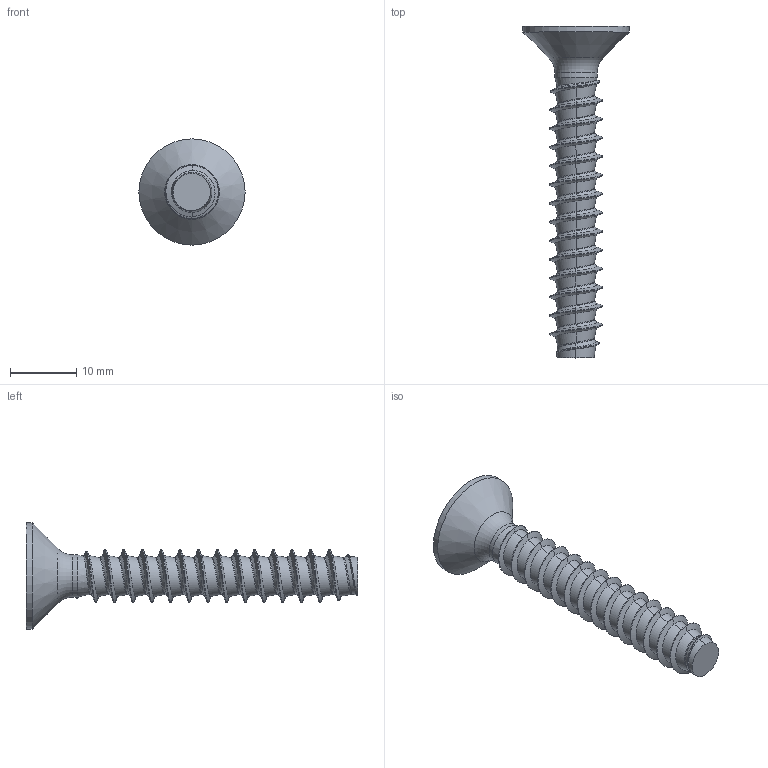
import cadquery as cq
import math


LENGTH = 50.0
HEAD_RADIUS = 8.0
HEAD_RIM = 0.9
HEAD_CONE_ANGLE = math.radians(45)
SHANK_RADIUS = 3.18
NECK_FILLET = 3.2
SHANK_END = 7.75
CORE_RADIUS = 2.765
CORE_START = 9.6

PITCH = 2.817
CREST_RADIUS = 3.97
CREST_WIDTH = 0.1
FLANK_ANGLE = math.radians(20)
THREAD_START = 7.68
THREAD_TURNS = 15
THREAD_END = THREAD_START + THREAD_TURNS * PITCH
LEAD_IN_RADIUS = 3.42
LEAD_IN_END = 10.3
RUNOUT_START = 46.3
RUNOUT_SLOPE = 0.33
MIN_CREST_HEIGHT = 0.03

ROOT_RADIUS = 3.11
ROOT_RISE_START = -0.78
ROOT_GAP = 0.02
ROOT_SLOPE_END = PITCH + ROOT_RISE_START - ROOT_GAP
ROOT_RUNOUT_DROP = 0.25
ROOT_EDGE_RADIUS = CORE_RADIUS - 0.02

BURIED_RADIUS = 2.3
SEGMENTS_PER_TURN = 2
STEPS_PER_SEGMENT = 8


def make_blank():
    """Head, neck fillet, shank and plain core as one turned body, its seam turned to the +Z side."""
    fillet_rise = NECK_FILLET * (1 - math.cos(HEAD_CONE_ANGLE))
    fillet_length = NECK_FILLET * math.sin(HEAD_CONE_ANGLE)
    cone_end_radius = SHANK_RADIUS + fillet_rise
    cone_end = HEAD_RIM + (HEAD_RADIUS - cone_end_radius) / math.tan(HEAD_CONE_ANGLE)
    fillet_end = cone_end + fillet_length
    half_angle = HEAD_CONE_ANGLE / 2
    fillet_mid = (
        SHANK_RADIUS + NECK_FILLET * (1 - math.cos(half_angle)),
        -(fillet_end - NECK_FILLET * math.sin(half_angle)),
    )
    return (
        cq.Workplane("XY")
        .lineTo(HEAD_RADIUS, 0)
        .lineTo(HEAD_RADIUS, -HEAD_RIM)
        .lineTo(cone_end_radius, -cone_end)
        .threePointArc(fillet_mid, (SHANK_RADIUS, -fillet_end))
        .lineTo(SHANK_RADIUS, -SHANK_END)
        .lineTo(CORE_RADIUS, -CORE_START)
        .lineTo(CORE_RADIUS, -LENGTH)
        .lineTo(0, -LENGTH)
        .close()
        .revolve(360, (0, 0, 0), (0, 1, 0))
        .rotate((0, 0, 0), (0, 1, 0), -90)
    )


def root_radius(depth):
    """Radius of the root at the flanks, sinking slightly along the runout."""
    runout = max(0.0, depth - RUNOUT_START) / (THREAD_END - RUNOUT_START)
    return ROOT_RADIUS - ROOT_RUNOUT_DROP * runout


def crest_radius(depth):
    """Radius of the crest: growing along the lead-in, fading along the runout."""
    if depth < LEAD_IN_END:
        lead_in = (depth - THREAD_START) / (LEAD_IN_END - THREAD_START)
        return LEAD_IN_RADIUS + (CREST_RADIUS - LEAD_IN_RADIUS) * lead_in
    faded = CREST_RADIUS - RUNOUT_SLOPE * max(0.0, depth - RUNOUT_START)
    return max(faded, root_radius(depth) + MIN_CREST_HEIGHT)


def thread_profile(depth):
    """Closed thread section as (axial offset from the crest, radius) corners."""
    root = root_radius(depth)
    crest = crest_radius(depth)
    crest_half = CREST_WIDTH / 2
    foot_half = crest_half + (crest - root) * math.tan(FLANK_ANGLE)
    return [
        (ROOT_RISE_START, BURIED_RADIUS),
        (ROOT_RISE_START, ROOT_EDGE_RADIUS),
        (-foot_half, root),
        (-crest_half, crest),
        (crest_half, crest),
        (foot_half, root),
        (ROOT_SLOPE_END, ROOT_EDGE_RADIUS),
        (ROOT_SLOPE_END, BURIED_RADIUS),
    ]


def thread_section(depth):
    """Corners of the thread section placed where the right-hand helix is at this depth."""
    angle = 2 * math.pi * (depth - THREAD_START) / PITCH - math.pi / 2
    return [
        cq.Vector(radius * math.cos(angle), -depth - offset, radius * math.sin(angle))
        for offset, radius in thread_profile(depth)
    ]


def segment_edges(segment):
    """One helical edge per section corner, along one segment of the thread."""
    segment_length = PITCH / SEGMENTS_PER_TURN
    depths = [
        THREAD_START + segment_length * (segment + step / STEPS_PER_SEGMENT)
        for step in range(STEPS_PER_SEGMENT + 1)
    ]
    sections = [thread_section(depth) for depth in depths]
    return [cq.Edge.makeSpline(list(corner_path)) for corner_path in zip(*sections)]


def make_thread():
    """Thread with its sloping root, as a solid reaching down into the core."""
    faces = []
    for segment in range(THREAD_TURNS * SEGMENTS_PER_TURN):
        edges = segment_edges(segment)
        following = edges[1:] + edges[:1]
        faces += [cq.Face.makeRuledSurface(a, b) for a, b in zip(edges, following)]
    for depth in (THREAD_START, THREAD_END):
        outline = cq.Wire.makePolygon(thread_section(depth), close=True)
        faces.append(cq.Face.makeFromWires(outline))
    return cq.Workplane(cq.Solid.makeSolid(cq.Shell.makeShell(faces)).fix())


def make_tip_trim():
    """Disc beyond the tip, removing the part of the thread that overshoots it."""
    return cq.Workplane("XZ", origin=(0, -LENGTH, 0)).circle(CREST_RADIUS).extrude(PITCH)


screw = make_blank().union(make_thread()).cut(make_tip_trim())
result = cq.Workplane(screw.solids().val())